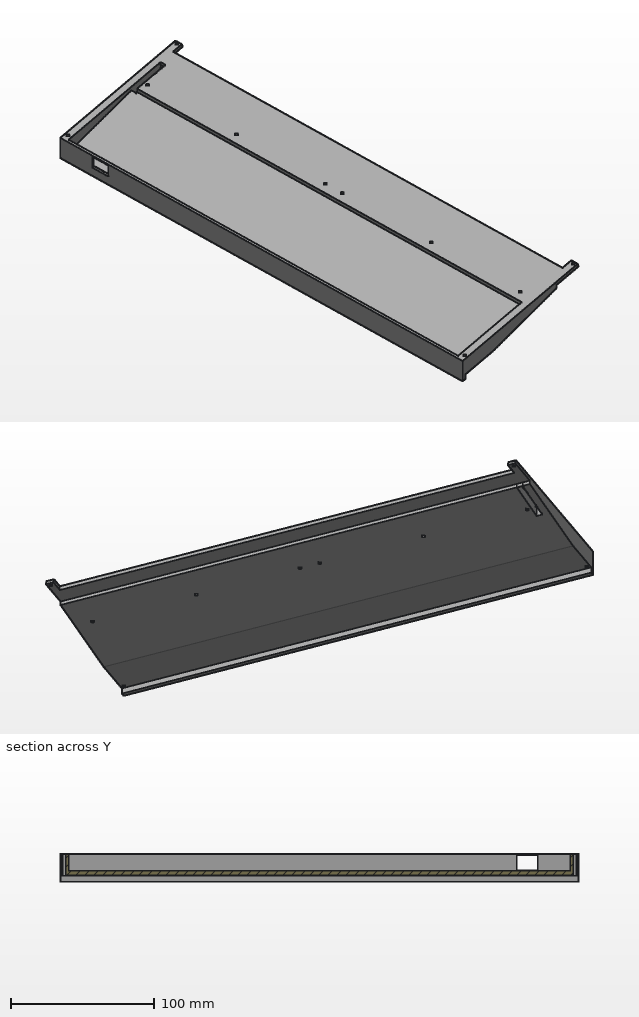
import cadquery as cq

length = 362.2
width = 129.0
height = 19.5

deck_thickness = 3.3
end_slant = 1.0
body_back_y = 104.5
body_back_depth = 6.0
ramp_front_y = 33.7
body_depth = 15.2
lip_thickness = 3.3

rail_width = 5.8
tab_length = 11.0

tray_front_y = 2.0
tray_back_y = 72.8
tray_back_depth = 3.3
tray_front_depth = 12.0

slot_width = 4.5
slot_front_y = 71.7
slot_back_y = 104.3

window_x = 28.5
window_width = 14.5
window_top = 1.0
window_height = 10.5

hole_diameter = 2.2
deck_hole_y = 80.5
deck_hole_offsets = (7.5, 87.5, 167.7)
corner_inset_x = 2.5
corner_front_y = 5.5
corner_back_y = 126.0


def extrude_along_x(points, x_start, x_length):
    """Extrude a (y, z) outline along X."""
    profile = cq.Workplane("YZ", origin=(x_start, 0, 0)).polyline(points).close()
    return profile.extrude(x_length)


def block(x, y, z, dx, dy, dz):
    """Box placed by its lowest corner."""
    return cq.Workplane("XY").box(dx, dy, dz, centered=False).translate((x, y, z))


def make_body():
    outline = [
        (0, 0),
        (width - end_slant, 0),
        (width, -deck_thickness),
        (body_back_y, -deck_thickness),
        (body_back_y, -body_back_depth),
        (ramp_front_y, -body_depth),
        (lip_thickness, -body_depth),
        (lip_thickness, -height),
        (0, -height),
    ]
    return extrude_along_x(outline, 0, length)


def make_rear_gap():
    """Space between the two rear tabs."""
    gap_y = width - tab_length
    return block(rail_width, gap_y, -height, length - 2 * rail_width, tab_length, height)


def make_tray():
    outline = [
        (tray_front_y, 0),
        (tray_back_y, 0),
        (tray_back_y, -tray_back_depth),
        (tray_front_y, -tray_front_depth),
    ]
    return extrude_along_x(outline, rail_width, length - 2 * rail_width)


def make_slot():
    return block(rail_width, slot_front_y, -height, slot_width, slot_back_y - slot_front_y, height)


def make_window():
    bottom = -window_top - window_height
    return block(window_x, 0, bottom, window_width, tray_front_y, window_height)


def make_holes():
    middle = length / 2
    points = []
    for side in (-1, 1):
        for offset in deck_hole_offsets:
            points.append((middle + side * offset, deck_hole_y))
        for y in (corner_front_y, corner_back_y):
            points.append((middle + side * (middle - corner_inset_x), y))
    return cq.Workplane("XY").pushPoints(points).circle(hole_diameter / 2).extrude(-height)


result = (
    make_body()
    .cut(make_rear_gap())
    .cut(make_tray())
    .cut(make_slot())
    .cut(make_window())
    .cut(make_holes())
)